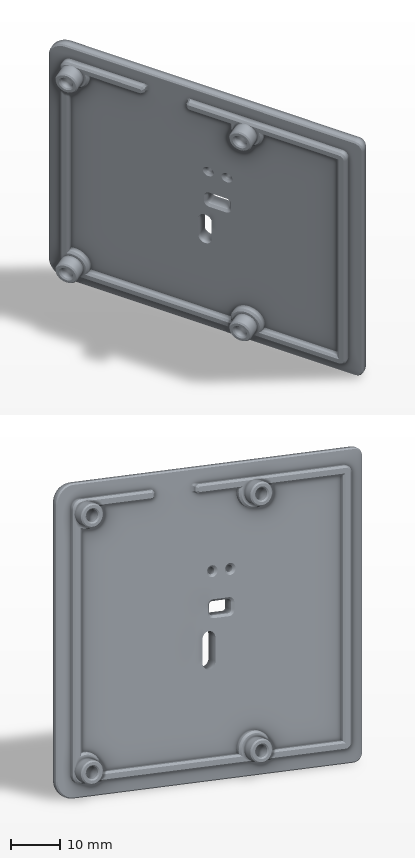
import cadquery as cq


overall_depth = 7.3
plate_width = 71.0
plate_height = 66.0
plate_thickness = 3.0
left_corner_radius = 4.0
right_corner_radius = 2.0
outer_face_fillet = 2.0
inner_face_chamfer = 0.3

rim_inset = 3.2
rim_thickness = 2.0
rim_rise = 1.5
rim_left_corner_radius = 2.0
rim_right_corner_radius = 1.5
rim_chamfer = 0.4
gap_center_x = -8.6
gap_width = 9.6
gap_corner_chamfer = 0.5
gap_foot_fillet = 0.5

boss_radius = 2.55
boss_rise = overall_depth - plate_thickness
boss_chamfer = 0.3
boss_flange_radius = 3.6
screw_hole_radius = 1.35
boss_columns_x = (-29.5, 9.8)
boss_row_z = 26.9
boss_centers = [(x, z) for x in boss_columns_x for z in (-boss_row_z, boss_row_z)]

opening_chamfer = 0.5
opening_center_x = 2.7
light_hole_radius = 0.745
light_hole_spacing = 4.2
light_hole_z = 10.9
window_width = 5.1
window_height = 3.0
window_corner_radius = 0.7
window_z = 3.05
slot_width = 3.0
slot_length = 8.0
slot_center_x = -0.15
slot_center_z = -5.55

overlap = 0.7


def plane_at(y):
    """Sketch plane parallel to the plate; positive extrusion runs toward -Y."""
    return cq.Workplane("XZ", origin=(0, y, 0))


def rounded_block(width, height, y_start, depth, left_radius, right_radius):
    """Rectangular block with different corner radii on its left and right sides."""
    block = plane_at(y_start).rect(width, height).extrude(depth)
    block = block.edges("|Y and <X").fillet(left_radius)
    return block.edges("|Y and >X").fillet(right_radius)


def make_plate():
    plate = rounded_block(
        plate_width, plate_height, plate_thickness, plate_thickness,
        left_corner_radius, right_corner_radius,
    )
    plate = plate.faces("<Y").edges().chamfer(inner_face_chamfer)
    return plate.faces(">Y").edges().fillet(outer_face_fillet)


def gap_ends(y_low, y_high):
    """Select the edges centred in the rim gap, end walls included, between two depths."""
    reach = gap_width / 2 + gap_corner_chamfer
    top_z = plate_height / 2 - rim_inset
    margin = 0.1
    return cq.selectors.BoxSelector(
        (gap_center_x - reach, y_low, top_z - rim_thickness - margin),
        (gap_center_x + reach, y_high, top_z + margin),
    )


def make_rim():
    """Rim with a gap in its upper run and a flange around each boss, chamfered on its front face."""
    outer_width = plate_width - 2 * rim_inset
    outer_height = plate_height - 2 * rim_inset
    depth = rim_rise + overlap
    envelope = rounded_block(
        outer_width, outer_height, overlap, depth,
        rim_left_corner_radius, rim_right_corner_radius,
    )
    interior = (
        plane_at(overlap)
        .rect(outer_width - 2 * rim_thickness, outer_height - 2 * rim_thickness)
        .extrude(depth)
    )
    gap = (
        plane_at(overlap)
        .center(gap_center_x, (outer_height - rim_thickness) / 2)
        .rect(gap_width, 2 * rim_thickness)
        .extrude(depth)
    )
    flanges = plane_at(overlap).pushPoints(boss_centers).circle(boss_flange_radius).extrude(depth)
    rim = envelope.cut(interior).cut(gap)
    rim = rim.edges("|Y").edges(gap_ends(-rim_rise, overlap)).chamfer(gap_corner_chamfer)
    rim = rim.union(flanges.intersect(envelope))
    return rim.faces("<Y").edges().chamfer(rim_chamfer)


def fillet_gap_feet(body):
    """Blend the end walls of the rim gap and their chamfered corners into the plate."""
    margin = 0.1
    return body.edges(gap_ends(-margin, margin)).fillet(gap_foot_fillet)


def make_bosses():
    bosses = (
        plane_at(overlap)
        .pushPoints(boss_centers)
        .circle(boss_radius)
        .extrude(boss_rise + overlap)
    )
    return bosses.faces("<Y").edges().chamfer(boss_chamfer)


def cut_screw_holes(body):
    """Bore through the bosses and the plate, with a chamfered mouth on each boss."""
    bores = (
        plane_at(plate_thickness)
        .pushPoints(boss_centers)
        .circle(screw_hole_radius)
        .extrude(plate_thickness + boss_rise)
    )
    smallest_circles = cq.selectors.RadiusNthSelector(0)
    body = body.cut(bores)
    return body.faces("<Y").edges("%CIRCLE").edges(smallest_circles).chamfer(boss_chamfer)


def cut_flared_openings(body):
    """Cut the two light holes and the window, then chamfer their mouths on the inner face."""
    light_holes = (
        plane_at(plate_thickness)
        .center(opening_center_x, light_hole_z)
        .rarray(light_hole_spacing, 0.7, 2, 1)
        .circle(light_hole_radius)
        .extrude(plate_thickness)
    )
    window = (
        plane_at(plate_thickness)
        .center(opening_center_x, window_z)
        .rect(window_width, window_height)
        .extrude(plate_thickness)
        .edges("|Y")
        .fillet(window_corner_radius)
    )
    body = body.cut(light_holes).cut(window)
    half_span = (light_hole_spacing + window_width) / 2
    mouths = cq.selectors.BoxSelector(
        (opening_center_x - half_span, -opening_chamfer, window_z - window_height),
        (opening_center_x + half_span, opening_chamfer, light_hole_z + window_height),
    )
    return body.edges(mouths).chamfer(opening_chamfer)


def cut_slot(body):
    """Cut the plain upright slot through the plate."""
    slot = (
        plane_at(plate_thickness)
        .center(slot_center_x, slot_center_z)
        .slot2D(slot_length, slot_width, 90)
        .extrude(plate_thickness)
    )
    return body.cut(slot)


result = make_plate().union(make_rim())
result = fillet_gap_feet(result).union(make_bosses())
result = cut_screw_holes(result)
result = cut_flared_openings(result)
result = cut_slot(result)